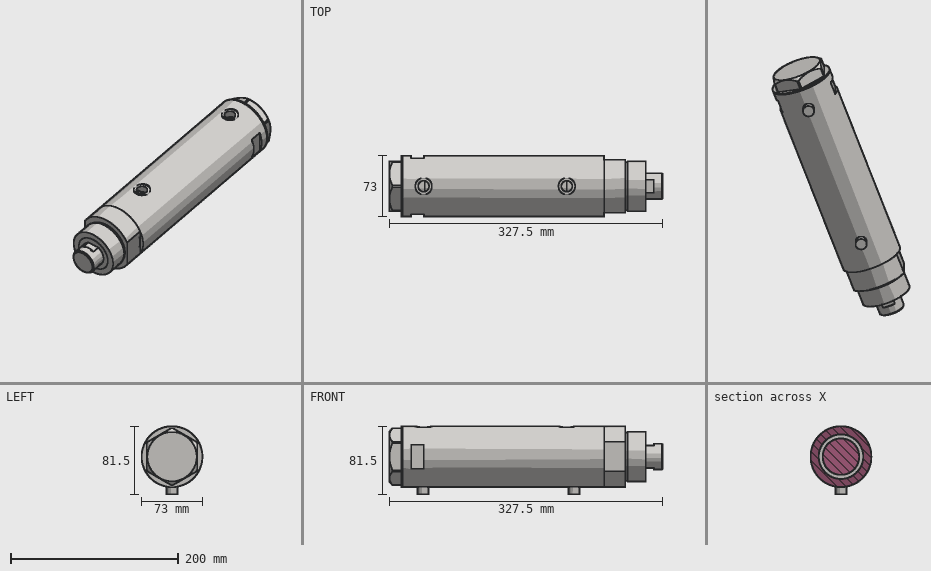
import cadquery as cq


BODY_DIA = 73.0
BORE_DIA = 53.0
GLAND_PLUG_DIA = 63.5
ROD_DIA = 44.0

CAP_FLANGE_START = 14.5
BARREL_START = 16.0
CAP_SPIGOT_END = 42.5
GLAND_PLUG_START = 212.5
BARREL_END = 257.0
GLAND_FLANGE_END = 282.5
COLLAR_START = 284.5
COLLAR_END = 307.2
ROD_TIP = 327.5

HEX_ACROSS_FLATS = 60.0
HEX_TURNED_DIA = 68.0
HEX_FACE_DIA = 59.0
HEX_CHAMFER_LENGTH = 4.0

WRENCH_SLOT_START = 26.2
WRENCH_SLOT_LENGTH = 15.5
WRENCH_SLOT_ACROSS_FLATS = 67.0
PORT_DIA = 13.0
PORT_X = (41.3, GLAND_PLUG_START)
SPOTFACE_DIA = 20.0
SPOTFACE_DEPTH = 1.25
STUD_DIA = 13.5
STUD_X = (40.5, 221.0)
STUD_PROJECTION = 8.5

GLAND_ACROSS_FLATS = 64.0
NECK_DIA = 58.0
COLLAR_DIA = 60.0
COLLAR_CHAMFER = 1.0

PISTON_LENGTH = 19.5
STUB_DIA = 31.0
STUB_FLATS_LENGTH = 9.5
STUB_ACROSS_FLATS = 27.2
STUB_CHAMFER = 1.3


def cylinder_along_x(diameter, start, end):
    """Cylinder on the X axis between two stations."""
    return cq.Workplane("YZ", origin=(start, 0, 0)).circle(diameter / 2).extrude(end - start)


def cylinder_along_z(diameter, x, bottom, top):
    """Upright cylinder on the XZ plane of symmetry."""
    return cq.Workplane("XY", origin=(x, 0, bottom)).circle(diameter / 2).extrude(top - bottom)


def slab_along_x(start, end, y_size, z_size):
    """Box centred on the X axis between two stations."""
    return cq.Workplane("YZ", origin=(start, 0, 0)).rect(y_size, z_size).extrude(end - start)


def make_cap():
    """Hex-headed end cap with a thin flange and a spigot into the bore."""
    hex_blank = (
        cq.Workplane("YZ")
        .polygon(6, HEX_ACROSS_FLATS, circumscribed=True)
        .extrude(CAP_FLANGE_START)
    )
    turned_envelope = (
        cq.Workplane("XY")
        .moveTo(0, 0)
        .lineTo(0, HEX_FACE_DIA / 2)
        .lineTo(HEX_CHAMFER_LENGTH, HEX_TURNED_DIA / 2)
        .lineTo(CAP_FLANGE_START, HEX_TURNED_DIA / 2)
        .lineTo(CAP_FLANGE_START, 0)
        .close()
        .revolve(360, (0, 0, 0), (1, 0, 0))
    )
    flange = cylinder_along_x(BODY_DIA, CAP_FLANGE_START, BARREL_START)
    spigot = cylinder_along_x(BORE_DIA, BARREL_START, CAP_SPIGOT_END)
    return hex_blank.intersect(turned_envelope).union(flange).union(spigot)


def make_barrel():
    """Tube with two ports on top, two studs below and a pair of wrench slots."""
    body_radius = BODY_DIA / 2
    barrel = cylinder_along_x(BODY_DIA, BARREL_START, BARREL_END)

    for x in STUD_X:
        barrel = barrel.union(cylinder_along_z(STUD_DIA, x, -body_radius - STUD_PROJECTION, 0))

    barrel = barrel.cut(cylinder_along_x(BORE_DIA, BARREL_START, BARREL_END))
    barrel = barrel.cut(cylinder_along_x(GLAND_PLUG_DIA, GLAND_PLUG_START, BARREL_END))

    slot_end = WRENCH_SLOT_START + WRENCH_SLOT_LENGTH
    slot_ring = slab_along_x(WRENCH_SLOT_START, slot_end, BODY_DIA, BODY_DIA).cut(
        slab_along_x(WRENCH_SLOT_START, slot_end, WRENCH_SLOT_ACROSS_FLATS, BODY_DIA)
    )
    barrel = barrel.cut(slot_ring)

    for x in PORT_X:
        barrel = barrel.cut(cylinder_along_z(PORT_DIA, x, 0, body_radius))
        spotface = cylinder_along_z(SPOTFACE_DIA, x, body_radius - SPOTFACE_DEPTH, body_radius)
        barrel = barrel.cut(spotface)
    return barrel


def make_gland():
    """Rod guide: plug inside the barrel, flatted flange, neck and collar outside."""
    plug = cylinder_along_x(GLAND_PLUG_DIA, GLAND_PLUG_START, BARREL_END)
    flange = cylinder_along_x(BODY_DIA, BARREL_END, GLAND_FLANGE_END).intersect(
        slab_along_x(BARREL_END, GLAND_FLANGE_END, GLAND_ACROSS_FLATS, BODY_DIA)
    )
    neck = cylinder_along_x(NECK_DIA, GLAND_FLANGE_END, COLLAR_START)
    collar = cylinder_along_x(COLLAR_DIA, COLLAR_START, COLLAR_END).faces("<X").chamfer(COLLAR_CHAMFER)
    rod_hole = cylinder_along_x(ROD_DIA, GLAND_PLUG_START, COLLAR_END)
    return plug.union(flange).union(neck).union(collar).cut(rod_hole)


def make_rod():
    """Piston against the cap spigot, rod flush with the collar, and a flatted end stub."""
    piston = cylinder_along_x(BORE_DIA, CAP_SPIGOT_END, CAP_SPIGOT_END + PISTON_LENGTH)
    rod = cylinder_along_x(ROD_DIA, CAP_SPIGOT_END + PISTON_LENGTH, COLLAR_END)

    flats_end = COLLAR_END + STUB_FLATS_LENGTH
    flatted = cylinder_along_x(STUB_DIA, COLLAR_END, flats_end).intersect(
        slab_along_x(COLLAR_END, flats_end, STUB_DIA, STUB_ACROSS_FLATS)
    )
    tip = cylinder_along_x(STUB_DIA, flats_end, ROD_TIP).faces(">X").chamfer(STUB_CHAMFER)
    return piston.union(rod).union(flatted).union(tip)


cap = make_cap()
barrel = make_barrel()
gland = make_gland()
rod = make_rod()

result = cq.Compound.makeCompound([cap.val(), barrel.val(), gland.val(), rod.val()])